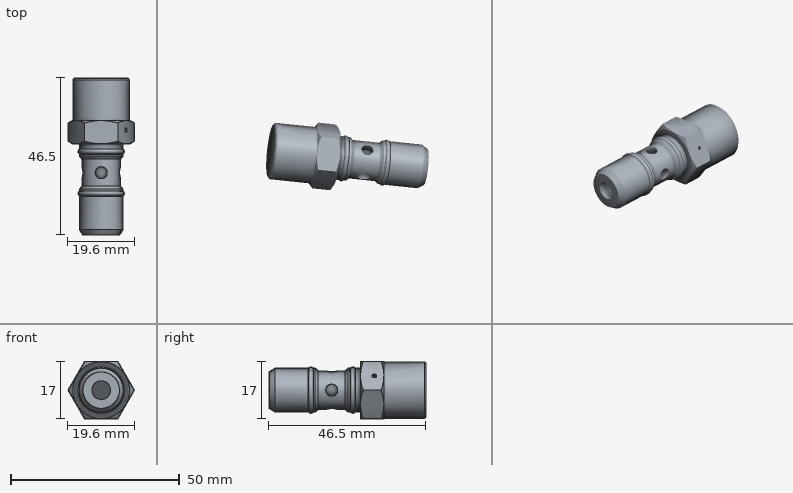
import cadquery as cq
import math


SEAT_Y = 0.0
SHANK_LENGTH = 27.0
HEX_LENGTH = 7.0
HEAD_LENGTH = 12.5
TIP_Y = SEAT_Y - SHANK_LENGTH
HEX_TOP_Y = SEAT_Y + HEX_LENGTH

SHANK_RADIUS = 13.0 / 2
TIP_RADIUS = 10.8 / 2
TIP_CHAMFER_LENGTH = 1.7
NECK_RADIUS = 11.45 / 2
NECK_LENGTH = 8.0
NECK_CENTER_Y = TIP_Y + 18.5
NECK_LOW_Y = NECK_CENTER_Y - NECK_LENGTH / 2
NECK_HIGH_Y = NECK_CENTER_Y + NECK_LENGTH / 2
NECK_CONE_LENGTH = 0.9

RING_CENTERS_Y = (TIP_Y + 12.35, TIP_Y + 24.75)
RING_OUTER_RADIUS = 13.7 / 2
RING_SECTION_RADIUS = 0.7
RING_MEAN_RADIUS = RING_OUTER_RADIUS - RING_SECTION_RADIUS
RING_SQUEEZE = 0.05
GROOVE_WIDTH = 1.6
GROOVE_OFFSET = -0.05
GROOVE_RADIUS = RING_MEAN_RADIUS - RING_SECTION_RADIUS + RING_SQUEEZE

HEX_SIDES = 6
HEX_ACROSS_FLATS = 17.0
HEX_ACROSS_CORNERS = HEX_ACROSS_FLATS / math.cos(math.pi / HEX_SIDES)
HEX_FACE_RADIUS = 16.8 / 2
HEX_CHAMFER_ANGLE = 30.0
HEAD_RADIUS = 16.8 / 2
HEAD_CHAMFER = 0.5

BORE_RADIUS = 5.5 / 2
BORE_DEPTH = 12.0
CROSS_HOLE_RADIUS = 3.55 / 2
CROSS_HOLE_COUNT = 4
CORE_RADIUS = 3.5
MARK_RADIUS = 1.2 / 2
MARK_DEPTH = 1.0
MARK_Y = SEAT_Y + 4.1
MARK_TILT = 360 / HEX_SIDES


def cylinder(radius, start_y, length):
    """Solid cylinder on the Y axis running from start_y towards +Y."""
    return cq.Workplane("XZ", origin=(0, start_y, 0)).circle(radius).extrude(-length)


def revolve_profile(points):
    """Solid of revolution about Y from (radius, y) points."""
    return cq.Workplane("XY").polyline(points).close().revolve(360, (0, 0), (0, 1))


def make_shank():
    """Stepped shank with a conical tip and a waisted neck."""
    return revolve_profile([
        (0, TIP_Y),
        (TIP_RADIUS, TIP_Y),
        (SHANK_RADIUS, TIP_Y + TIP_CHAMFER_LENGTH),
        (SHANK_RADIUS, NECK_LOW_Y - NECK_CONE_LENGTH),
        (NECK_RADIUS, NECK_LOW_Y),
        (NECK_RADIUS, NECK_HIGH_Y),
        (SHANK_RADIUS, NECK_HIGH_Y + NECK_CONE_LENGTH),
        (SHANK_RADIUS, SEAT_Y),
        (0, SEAT_Y),
    ])


def make_groove(ring_center_y):
    """Square-bottomed annular groove cutter, set slightly towards the tip from its O-ring."""
    start_y = ring_center_y + GROOVE_OFFSET - GROOVE_WIDTH / 2
    outer = cylinder(RING_OUTER_RADIUS, start_y, GROOVE_WIDTH)
    return outer.cut(cylinder(GROOVE_RADIUS, start_y, GROOVE_WIDTH))


def make_ring(center_y):
    """O-ring slightly squeezed onto the groove floor."""
    section = (
        cq.Workplane("XY", origin=(RING_MEAN_RADIUS, center_y, 0))
        .transformed(rotate=(0, 0, 180))
        .circle(RING_SECTION_RADIUS)
    )
    return section.revolve(360, (RING_MEAN_RADIUS, 0), (RING_MEAN_RADIUS, 1))


def make_hexagon():
    """Hexagon with corners on X, its corners chamfered on both ends."""
    prism = (
        cq.Workplane("XZ", origin=(0, SEAT_Y, 0))
        .polygon(HEX_SIDES, HEX_ACROSS_CORNERS)
        .extrude(-HEX_LENGTH)
    )
    envelope_radius = HEX_ACROSS_CORNERS / 2
    chamfer = (envelope_radius - HEX_FACE_RADIUS) * math.tan(math.radians(HEX_CHAMFER_ANGLE))
    envelope = revolve_profile([
        (0, SEAT_Y),
        (HEX_FACE_RADIUS, SEAT_Y),
        (envelope_radius, SEAT_Y + chamfer),
        (envelope_radius, HEX_TOP_Y - chamfer),
        (HEX_FACE_RADIUS, HEX_TOP_Y),
        (0, HEX_TOP_Y),
    ])
    return prism.intersect(envelope)


def make_head():
    """Cylindrical head with a chamfered rim."""
    return cylinder(HEAD_RADIUS, HEX_TOP_Y, HEAD_LENGTH).faces(">Y").edges().chamfer(HEAD_CHAMFER)


def make_cross_holes():
    """Radial holes around the neck, ending on the round core."""
    holes = cq.Workplane("XY")
    for index in range(CROSS_HOLE_COUNT):
        hole = (
            cq.Workplane("XY", origin=(0, NECK_CENTER_Y, 0))
            .circle(CROSS_HOLE_RADIUS)
            .extrude(SHANK_RADIUS)
        )
        angle = index * 360 / CROSS_HOLE_COUNT
        holes = holes.add(hole.rotate((0, 0, 0), (0, 1, 0), angle))
    return holes.combine().cut(cylinder(CORE_RADIUS, NECK_LOW_Y, NECK_LENGTH))


def make_mark():
    """Small blind hole in the middle of the upper +X flat."""
    floor_distance = HEX_ACROSS_FLATS / 2 - MARK_DEPTH
    hole = (
        cq.Workplane("XY", origin=(0, MARK_Y, floor_distance))
        .circle(MARK_RADIUS)
        .extrude(2 * MARK_DEPTH)
    )
    return hole.rotate((0, 0, 0), (0, 1, 0), MARK_TILT)


def make_bolt():
    """Complete bolt with O-rings fitted."""
    bolt = make_shank().union(make_hexagon()).union(make_head())
    for center_y in RING_CENTERS_Y:
        bolt = bolt.cut(make_groove(center_y)).union(make_ring(center_y))
    bolt = bolt.cut(cylinder(BORE_RADIUS, TIP_Y, BORE_DEPTH))
    return bolt.cut(make_cross_holes()).cut(make_mark())


result = make_bolt()